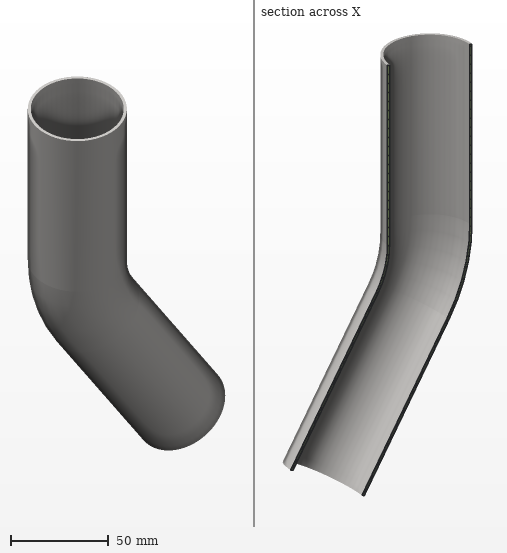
import cadquery as cq
import math

overall_height = 240.5
outer_diameter = 50.7
inner_diameter = 47.5
bend_angle = 30.0
bend_radius = 1.5 * outer_diameter

sin_bend = math.sin(math.radians(bend_angle))
cos_bend = math.cos(math.radians(bend_angle))
bend_height = (bend_radius + outer_diameter / 2) * sin_bend
leg_length = (overall_height - bend_height) / (1 + cos_bend)


def bend_point(angle):
    """Point (y, z) on the bend axis, which starts at the origin and turns toward +Y."""
    turn = math.radians(angle)
    return (bend_radius * (1 - math.cos(turn)), -bend_radius * math.sin(turn))


bend_middle = bend_point(bend_angle / 2)
bend_end = bend_point(bend_angle)
lower_end = (bend_end[0] + leg_length * sin_bend, bend_end[1] - leg_length * cos_bend)
pipe_axis = (
    cq.Workplane("YZ")
    .moveTo(0, leg_length)
    .lineTo(0, 0)
    .threePointArc(bend_middle, bend_end)
    .lineTo(*lower_end)
)

result = (
    cq.Workplane("XY", origin=(0, 0, leg_length))
    .circle(outer_diameter / 2)
    .circle(inner_diameter / 2)
    .sweep(pipe_axis)
)